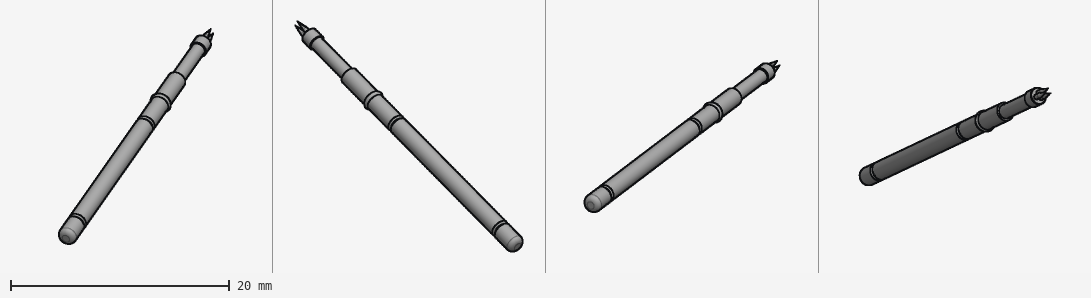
import cadquery as cq
import math

total_length = 34.0
collar_start = 1.8
collar_end = 3.0
barrel_start = 8.0

barrel_radius = 1.73 / 2
plunger_radius = 1.32 / 2
collar_radius = 1.6 / 2
collar_chamfer = 0.05
tail_fillet = 0.5

ring_radius = 2.0 / 2
ring_centre = 11.77
ring_width = 0.5

groove_centres = (15.4, 31.45)
groove_width = 0.4
groove_depth = 0.2

needle_count = 3
needle_radius = 0.24
needle_cone_length = 1.2
needle_embed = 0.25
needle_circle_radius = needle_radius / math.sin(math.pi / needle_count)


def along_pin(distance):
    """Y position of a point the given distance behind the needle points."""
    return total_length - distance


def spin(profile):
    """Revolve a closed half-profile, drawn in the YZ plane, about the Y axis."""
    return profile.revolve(360, (0, 0, 0), (1, 0, 0))


def make_cylinder(radius, start, end):
    """Solid cylinder on the pin axis between two distances from the points."""
    profile = (
        cq.Workplane("YZ")
        .moveTo(along_pin(end), 0)
        .lineTo(along_pin(end), radius)
        .lineTo(along_pin(start), radius)
        .lineTo(along_pin(start), 0)
        .close()
    )
    return spin(profile)


def make_barrel():
    """Barrel tube with its closed end rounded over."""
    barrel = make_cylinder(barrel_radius, barrel_start, total_length)
    return barrel.faces("<Y").edges().fillet(tail_fillet)


def make_collar():
    """Wider collar at the head of the plunger, its front edge broken."""
    collar = make_cylinder(collar_radius, collar_start, collar_end)
    return collar.faces(">Y").edges().chamfer(collar_chamfer)


def make_press_ring():
    """Bead with an arched profile rising from the barrel surface."""
    centre = along_pin(ring_centre)
    half_width = ring_width / 2
    profile = (
        cq.Workplane("YZ")
        .moveTo(centre - half_width, 0)
        .lineTo(centre - half_width, barrel_radius)
        .threePointArc((centre, ring_radius), (centre + half_width, barrel_radius))
        .lineTo(centre + half_width, 0)
        .close()
    )
    return spin(profile)


def make_groove_cutter(distance):
    """V-section ring whose point reaches into the barrel."""
    centre = along_pin(distance)
    half_width = groove_width / 2
    profile = (
        cq.Workplane("YZ")
        .moveTo(centre - half_width, barrel_radius)
        .lineTo(centre, barrel_radius - groove_depth)
        .lineTo(centre + half_width, barrel_radius)
        .close()
    )
    return spin(profile)


def make_needle(index):
    """Pointed needle, parallel to the pin axis and rooted in the collar."""
    angle = math.pi / 2 + index * 2 * math.pi / needle_count
    x = needle_circle_radius * math.cos(angle)
    z = needle_circle_radius * math.sin(angle)
    root = along_pin(collar_start + needle_embed)
    shoulder = along_pin(needle_cone_length)
    profile = (
        cq.Workplane("YZ")
        .moveTo(root, 0)
        .lineTo(root, needle_radius)
        .lineTo(shoulder, needle_radius)
        .lineTo(total_length, 0)
        .close()
    )
    return spin(profile).translate((x, 0, z))


result = make_barrel()
result = result.union(make_cylinder(plunger_radius, collar_end, barrel_start))
result = result.union(make_collar())
result = result.union(make_press_ring())

for groove_centre in groove_centres:
    result = result.cut(make_groove_cutter(groove_centre))

for needle_index in range(needle_count):
    result = result.union(make_needle(needle_index))